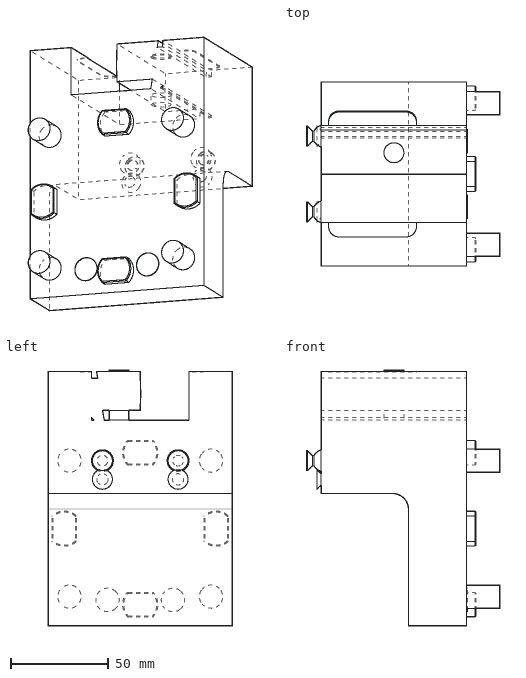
import cadquery as cq
import math


body_length = 75.0
body_width = 95.0
body_height = 131.0
head_height = 63.0
leg_thickness = 30.0
inner_corner_radius = 8.0

channel_depth = 25.0
channel_half_width = 25.0
jaw_face_y = 0.0
jaw_height = 20.0
jaw_taper = math.radians(10)
jaw_ridge = 0.3
ridge_top_depth = 9.9
ridge_bottom_depth = 13.3
undercut_top_y = 19.4
slit_bottom_y = 22.0
slit_depth = 3.4
relief_leg = 1.2
channel_floor_z = body_height - channel_depth

screw_diameter = 10.3
screw_y = 10.9
screw_projection = 0.7

recess_end_gap = 3.8
recess_length = 45.3
recess_half_width = 32.4
recess_corner_radius = 5.3
recess_ledge = 0.5
ledge_depth = 0.1
recess_depth = 0.3

nozzle_y = 19.5
nozzle_z = 85.1
ball_radius = 5.8
ball_inset = 1.5
neck_radius = 2.8
neck_end = 4.6
flare_radius = 5.1
nozzle_reach = 7.5
plug_z = 75.5
plug_reach = 2.2

mount_z = 50.0
pin_diameter = 12.0
pin_length = 17.1
pin_y = 36.5
pin_z = 35.0
key_diameter = 18.2
key_length = 12.6
key_height = 4.7
key_outer = 45.5
key_chamfer = 0.5
port_diameter = 12.1
port_height = 0.4
port_y = 16.9
port_z = 13.3


def extrude_outline(points):
    """Extrude a closed YZ outline through the full body length."""
    plane = cq.Workplane("YZ", origin=(-body_length, 0, 0))
    return plane.polyline(points).close().extrude(body_length)


def make_body():
    head_bottom = body_height - head_height
    profile = (
        cq.Workplane("XZ", origin=(0, body_width / 2, 0))
        .polyline([
            (0, 0),
            (0, body_height),
            (-body_length, body_height),
            (-body_length, head_bottom),
            (-leg_thickness, head_bottom),
            (-leg_thickness, 0),
        ])
        .close()
        .extrude(body_width)
    )
    corner = cq.selectors.NearestToPointSelector((-leg_thickness, 0, head_bottom))
    return profile.edges("|Y").edges(corner).fillet(inner_corner_radius)


def make_channel():
    """Channel with a ridged jaw face and a tapered undercut below the jaw."""
    jaw_bottom_z = body_height - jaw_height
    undercut_shift = (channel_depth - jaw_height) * math.tan(jaw_taper)
    return extrude_outline([
        (-channel_half_width, body_height),
        (-channel_half_width, channel_floor_z),
        (undercut_top_y - undercut_shift, channel_floor_z),
        (undercut_top_y, jaw_bottom_z),
        (jaw_face_y, jaw_bottom_z),
        (jaw_face_y - jaw_ridge, body_height - ridge_bottom_depth),
        (jaw_face_y - jaw_ridge, body_height - ridge_top_depth),
        (jaw_face_y, body_height),
    ])


def make_slit():
    """Narrow slit behind the jaw, tapered on the jaw side."""
    bottom_z = body_height - slit_depth
    return extrude_outline([
        (channel_half_width, body_height),
        (channel_half_width, bottom_z),
        (slit_bottom_y, bottom_z),
        (slit_bottom_y + slit_depth * math.tan(jaw_taper), body_height),
    ])


def make_relief():
    """Small triangular gap at the lower corner behind the jaw."""
    return extrude_outline([
        (channel_half_width, channel_floor_z),
        (channel_half_width - relief_leg, channel_floor_z),
        (channel_half_width, channel_floor_z + relief_leg),
    ])


def make_recess_level(upper_y, depth):
    """One level of the recess, leaving the top of the jaw uncut."""
    width = upper_y + recess_half_width
    centre_x = -body_length + recess_end_gap + recess_length / 2
    centre_y = upper_y - width / 2
    level = (
        cq.Workplane("XY", origin=(centre_x, centre_y, body_height - depth))
        .rect(recess_length, width)
        .extrude(depth)
        .edges("|Z")
        .fillet(recess_corner_radius)
    )
    jaw_strip = extrude_outline([
        (jaw_face_y - jaw_ridge, 0),
        (channel_half_width, 0),
        (channel_half_width, body_height),
        (jaw_face_y - jaw_ridge, body_height),
    ])
    return level.cut(jaw_strip)


def make_clamping_screw():
    return (
        cq.Workplane("XY", origin=(-body_length / 2, screw_y, channel_floor_z))
        .circle(screw_diameter / 2)
        .extrude(channel_depth + screw_projection)
    )


def revolve_on_front(profile, y, z):
    """Revolve a (distance outward, radius) profile about an X axis on the -X face."""
    turned = profile.close().revolve(360, (0, 0, 0), (1, 0, 0))
    return turned.rotate((0, 0, 0), (0, 0, 1), 180).translate((-body_length, y, z))


def make_nozzle(y):
    """Ball seated in the -X face, with a neck and a 45 degree flare."""
    ball = cq.Workplane("XY").sphere(ball_radius)
    ball = ball.translate((-body_length + ball_inset, y, nozzle_z))
    flare_end = neck_end + flare_radius - neck_radius
    profile = cq.Workplane("XY").polyline([
        (0, 0),
        (0, neck_radius),
        (neck_end, neck_radius),
        (flare_end, flare_radius),
        (nozzle_reach, flare_radius),
        (nozzle_reach, 0),
    ])
    return ball.union(revolve_on_front(profile, y, nozzle_z))


def make_plug(y):
    """45 degree conical plug below a nozzle."""
    profile = cq.Workplane("XY").polyline([
        (0, 0),
        (0, flare_radius - plug_reach),
        (plug_reach, flare_radius),
        (plug_reach, 0),
    ])
    return revolve_on_front(profile, y, plug_z)


def make_round_boss(y, z, diameter, height):
    """Cylinder standing on the mounting face."""
    return (
        cq.Workplane("YZ", origin=(0, y, z))
        .circle(diameter / 2)
        .extrude(height)
    )


def make_key(angle):
    """Round key with two parallel flats, at the given angle around the mounting centre."""
    key = cq.Workplane("YZ").circle(key_diameter / 2).extrude(key_height)
    flats = cq.Workplane("YZ").rect(key_length, key_diameter).extrude(key_height)
    key = key.intersect(flats).faces(">X").chamfer(key_chamfer)
    key = key.translate((0, key_outer - key_length / 2, 0))
    return key.rotate((0, 0, 0), (1, 0, 0), angle).translate((0, 0, mount_z))


result = make_body()
result = result.cut(make_channel())
result = result.cut(make_slit())
result = result.cut(make_relief())
result = result.cut(make_recess_level(recess_half_width, ledge_depth))
result = result.cut(make_recess_level(recess_half_width - recess_ledge, recess_depth))
result = result.union(make_clamping_screw())

for side in (-1, 1):
    result = result.union(make_nozzle(side * nozzle_y))
    result = result.union(make_plug(side * nozzle_y))
    result = result.union(make_round_boss(side * port_y, port_z, port_diameter, port_height))
    for row in (-1, 1):
        pin = make_round_boss(side * pin_y, mount_z + row * pin_z, pin_diameter, pin_length)
        result = result.union(pin)

for angle in (0, 90, 180, 270):
    result = result.union(make_key(angle))